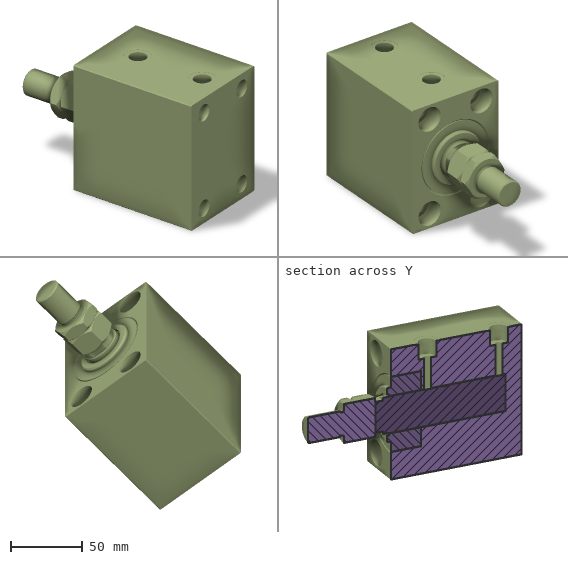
import cadquery as cq
import math


stud_length = 28.0
front_hex_length = 9.0
rear_hex_length = 16.0
neck_length = 5.9
collar_length = 3.0
boss_length = 3.0
total_length = 168.0

front_hex_x = stud_length
rear_hex_x = front_hex_x + front_hex_length
neck_x = rear_hex_x + rear_hex_length
collar_x = neck_x + neck_length
boss_x = collar_x + collar_length
block_x = boss_x + boss_length

block_length = total_length - block_x
block_width = 75.0
block_height = 100.0
block_edge_chamfer = 0.7

screw_spacing_y = 45.0
screw_spacing_z = 76.3
screw_hole_diameter = 13.1
screw_head_diameter = 19.3
screw_head_depth = 14.3

front_port_offset = 28.9
port_spacing = 56.1
port_face_diameter = 20.2
port_face_depth = 0.2
port_diameter = 13.5
port_depth = 12.0
port_channel_diameter = 5.0

gland_diameter = 57.1
gland_depth = 23.5
seat_chamfer = 1.0
boss_diameter = 42.0
boss_chamfer = 1.0
wiper_recess_diameter = 31.2
wiper_recess_depth = 1.5

rod_diameter = 28.0
rod_chamfer = 0.5
rod_tail = 5.0
neck_diameter = 27.0
neck_across_flats = 24.0

stud_diameter = 20.0
stud_chamfer = 0.8
relief_diameter = 18.1
relief_length = 3.0
relief_slope = (stud_diameter - relief_diameter) / 2
hex_across_flats = 30.0
hex_face_diameter = 29.9
hex_chamfer_angle = 43.0

rod_end_x = block_x + front_port_offset + port_spacing + rod_tail


def axial_cylinder(diameter, start, end):
    """Cylinder on the X axis between two stations."""
    return cq.Workplane("YZ", origin=(start, 0, 0)).circle(diameter / 2).extrude(end - start)


def port_drill(x, diameter, depth):
    """Vertical drill entering the top of the block."""
    top = block_height / 2
    return cq.Workplane("XY", origin=(x, 0, top)).circle(diameter / 2).extrude(-depth)


def make_block():
    block = cq.Workplane("XY").box(block_length, block_width, block_height)
    block = block.edges("|X").chamfer(block_edge_chamfer)
    block = block.translate((block_x + block_length / 2, 0, 0))

    block = (
        block.faces("<X")
        .workplane(origin=(block_x, 0, 0))
        .rect(screw_spacing_y, screw_spacing_z, forConstruction=True)
        .vertices()
        .cboreHole(screw_hole_diameter, screw_head_diameter, screw_head_depth)
    )

    seat = axial_cylinder(gland_diameter, block_x, block_x + gland_depth)
    mouth = (
        cq.Workplane("YZ", origin=(block_x, 0, 0))
        .circle(gland_diameter / 2 + seat_chamfer)
        .extrude(seat_chamfer, taper=45)
    )
    rod_bore = axial_cylinder(rod_diameter, block_x, rod_end_x)
    block = block.cut(seat).cut(mouth).cut(rod_bore)

    for index in range(2):
        x = block_x + front_port_offset + index * port_spacing
        block = block.cut(port_drill(x, port_face_diameter, port_face_depth))
        block = block.cut(port_drill(x, port_diameter, port_depth))
        block = block.cut(port_drill(x, port_channel_diameter, block_height / 2))
    return block


def make_gland():
    boss = axial_cylinder(boss_diameter, boss_x, block_x).faces("<X").chamfer(boss_chamfer)
    plug = axial_cylinder(gland_diameter, block_x, block_x + gland_depth)
    rod_bore = axial_cylinder(rod_diameter, boss_x, block_x + gland_depth)
    wiper_recess = axial_cylinder(wiper_recess_diameter, boss_x, boss_x + wiper_recess_depth)
    return boss.union(plug).cut(rod_bore).cut(wiper_recess)


def make_rod():
    shaft = axial_cylinder(rod_diameter, collar_x, rod_end_x).faces("<X").chamfer(rod_chamfer)
    flats = (
        cq.Workplane("YZ", origin=(neck_x, 0, 0))
        .rect(neck_across_flats, neck_across_flats)
        .extrude(neck_length)
    )
    neck = axial_cylinder(neck_diameter, neck_x, collar_x).intersect(flats)
    return shaft.union(neck)


def make_hex(start, length):
    """Hexagon with flats above and below, chamfered to a circle at both ends."""
    corner_diameter = hex_across_flats / math.cos(math.radians(30))
    prism = cq.Workplane("YZ", origin=(start, 0, 0)).polygon(6, corner_diameter).extrude(length)
    face_radius = hex_face_diameter / 2
    corner_radius = corner_diameter / 2
    run = (corner_radius - face_radius) * math.tan(math.radians(hex_chamfer_angle))
    envelope = (
        cq.Workplane("XY")
        .moveTo(start, 0)
        .lineTo(start, face_radius)
        .lineTo(start + run, corner_radius)
        .lineTo(start + length - run, corner_radius)
        .lineTo(start + length, face_radius)
        .lineTo(start + length, 0)
        .close()
        .revolve(360, (0, 0, 0), (1, 0, 0))
    )
    return prism.intersect(envelope)


def make_end_piece():
    stud_radius = stud_diameter / 2
    relief_radius = relief_diameter / 2
    relief_x = stud_length - relief_length
    stud = (
        cq.Workplane("XZ")
        .lineTo(0, stud_radius - stud_chamfer)
        .lineTo(stud_chamfer, stud_radius)
        .lineTo(relief_x, stud_radius)
        .lineTo(relief_x + relief_slope, relief_radius)
        .lineTo(stud_length - relief_slope, relief_radius)
        .radiusArc((stud_length, stud_radius), -relief_slope)
        .lineTo(stud_length, 0)
        .close()
        .revolve(360, (0, 0, 0), (1, 0, 0))
    )
    front_hex = make_hex(front_hex_x, front_hex_length)
    rear_hex = make_hex(rear_hex_x, rear_hex_length)
    return stud.union(front_hex).union(rear_hex)


block = make_block().solids()
gland = make_gland().solids()
rod = make_rod().solids()
end_piece = make_end_piece().solids()

result = cq.Compound.makeCompound([block.val(), gland.val(), rod.val(), end_piece.val()])